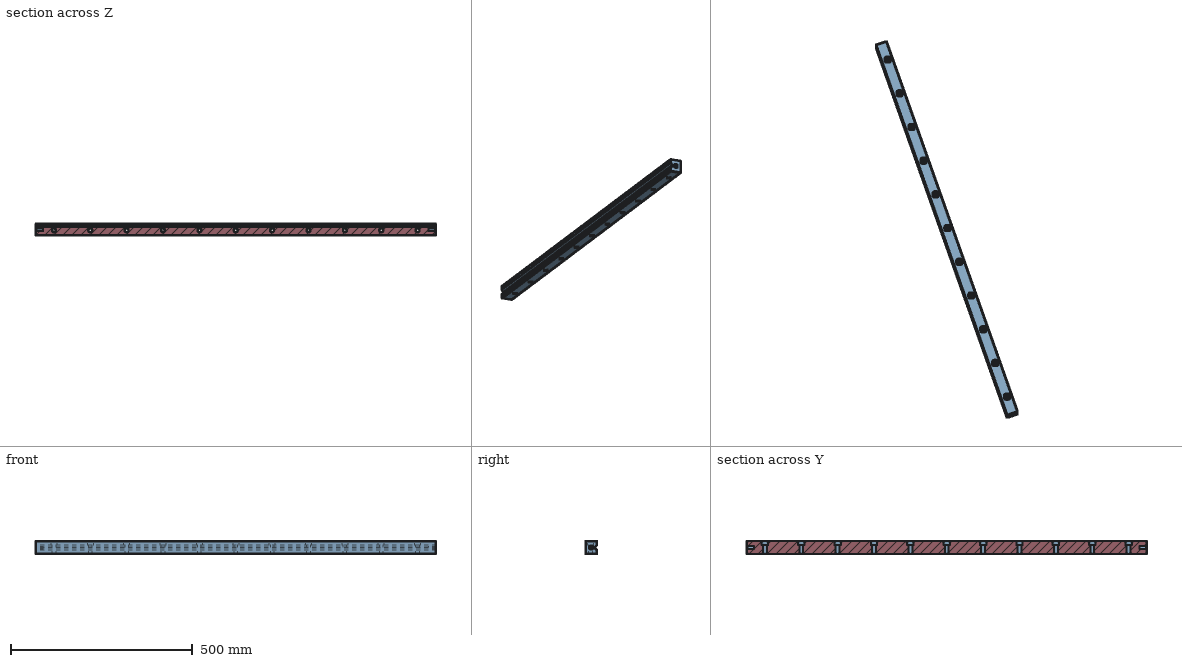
import cadquery as cq

LENGTH = 1100.0
WIDTH = 31.9
HEIGHT = 36.0
CHAMFER = 1.5

GROOVE_DEPTH = 7.0
RELIEF_WIDTH = 2.0
RELIEF_DEPTH = 1.0

HOLE_PITCH = 100.0
HOLE_COUNT = 11
HOLE_FROM_BACK = 14.0
HOLE_DIAMETER = 10.3
COUNTERBORE_DIAMETER = 16.5
COUNTERBORE_DEPTH = 10.5
COUNTERBORE_CHAMFER = 0.5

END_HOLE_FROM_BACK = 15.5
END_HOLE_DIAMETER = 6.8
END_HOLE_DEPTH = 20.0
END_HOLE_CHAMFER = 2.0

BACK_Y = -WIDTH / 2
GROOVED_Y = WIDTH / 2
TOP_Z = HEIGHT / 2


def rail_body():
    """Rectangular bar with chamfered long edges and chamfered ends."""
    bar = cq.Workplane("XY").box(LENGTH, WIDTH, HEIGHT)
    bar = bar.edges("|X").chamfer(CHAMFER)
    return bar.faces("<X or >X").edges().chamfer(CHAMFER)


def roller_groove():
    """V groove with flanks at 45 degrees, opening to +Y, plus the relief slot at its root."""
    half_relief = RELIEF_WIDTH / 2
    root_y = GROOVED_Y - GROOVE_DEPTH
    flank_end_y = root_y + half_relief
    relief_y = root_y - RELIEF_DEPTH
    return (
        cq.Workplane("YZ", origin=(-LENGTH / 2, 0, 0))
        .moveTo(GROOVED_Y, GROOVE_DEPTH)
        .lineTo(flank_end_y, half_relief)
        .lineTo(relief_y, half_relief)
        .lineTo(relief_y, -half_relief)
        .lineTo(flank_end_y, -half_relief)
        .lineTo(GROOVED_Y, -GROOVE_DEPTH)
        .close()
        .extrude(LENGTH)
    )


def countersink(diameter, chamfer, mouth, direction):
    """45 degree cone that breaks the mouth of a hole; direction points into the part."""
    radius = diameter / 2
    cone = cq.Solid.makeCone(radius + chamfer, radius, chamfer, cq.Vector(*mouth), cq.Vector(*direction))
    return cq.Workplane(cone)


def mounting_hole(x):
    """Through hole at x with a counterbore from the top and a chamfered rim."""
    mouth = (x, BACK_Y + HOLE_FROM_BACK, TOP_Z)
    top = cq.Workplane("XY", origin=mouth)
    bore = top.circle(HOLE_DIAMETER / 2).extrude(-HEIGHT)
    counterbore = top.circle(COUNTERBORE_DIAMETER / 2).extrude(-COUNTERBORE_DEPTH)
    rim = countersink(COUNTERBORE_DIAMETER, COUNTERBORE_CHAMFER, mouth, (0, 0, -1))
    return bore.union(counterbore).union(rim)


def end_hole(side):
    """Countersunk blind hole in the end at -X (side = -1) or +X (side = 1)."""
    mouth = (side * LENGTH / 2, BACK_Y + END_HOLE_FROM_BACK, 0)
    bore = cq.Workplane("YZ", origin=mouth).circle(END_HOLE_DIAMETER / 2).extrude(-side * END_HOLE_DEPTH)
    rim = countersink(END_HOLE_DIAMETER, END_HOLE_CHAMFER, mouth, (-side, 0, 0))
    return bore.union(rim)


result = rail_body().cut(roller_groove())

first_hole_x = -HOLE_PITCH * (HOLE_COUNT - 1) / 2
for index in range(HOLE_COUNT):
    result = result.cut(mounting_hole(first_hole_x + index * HOLE_PITCH))

for end_side in (-1, 1):
    result = result.cut(end_hole(end_side))